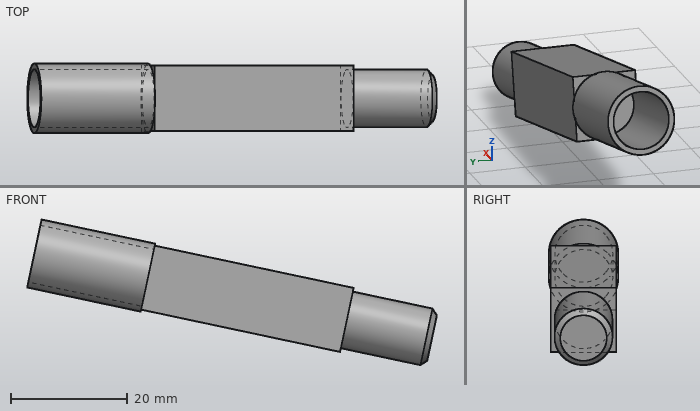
import cadquery as cq

TILT_ANGLE = 12.0
SOCKET_DIAMETER = 12.0
SOCKET_LENGTH = 20.0
BORE_DIAMETER = 10.0
BORE_DEPTH = 20.0
BLOCK_SIDE = 11.3
BLOCK_LENGTH = 35.0
SPIGOT_DIAMETER = 10.0
SPIGOT_LENGTH = 15.0
SPIGOT_CHAMFER = 1.0

BLOCK_START = SOCKET_LENGTH
SPIGOT_START = BLOCK_START + BLOCK_LENGTH


def section_at(station):
    """Workplane facing +X, centred on the part's axis at the given station."""
    return cq.Workplane("YZ", origin=(station, 0, 0))


def make_socket():
    return section_at(0).circle(SOCKET_DIAMETER / 2).extrude(SOCKET_LENGTH)


def make_block():
    return section_at(BLOCK_START).rect(BLOCK_SIDE, BLOCK_SIDE).extrude(BLOCK_LENGTH)


def make_spigot():
    spigot = section_at(SPIGOT_START).circle(SPIGOT_DIAMETER / 2).extrude(SPIGOT_LENGTH)
    return spigot.faces(">X").chamfer(SPIGOT_CHAMFER)


def make_bore():
    return section_at(0).circle(BORE_DIAMETER / 2).extrude(BORE_DEPTH)


straight_part = make_socket().union(make_block()).union(make_spigot()).cut(make_bore())
result = straight_part.rotate((0, 0, 0), (0, 1, 0), TILT_ANGLE)